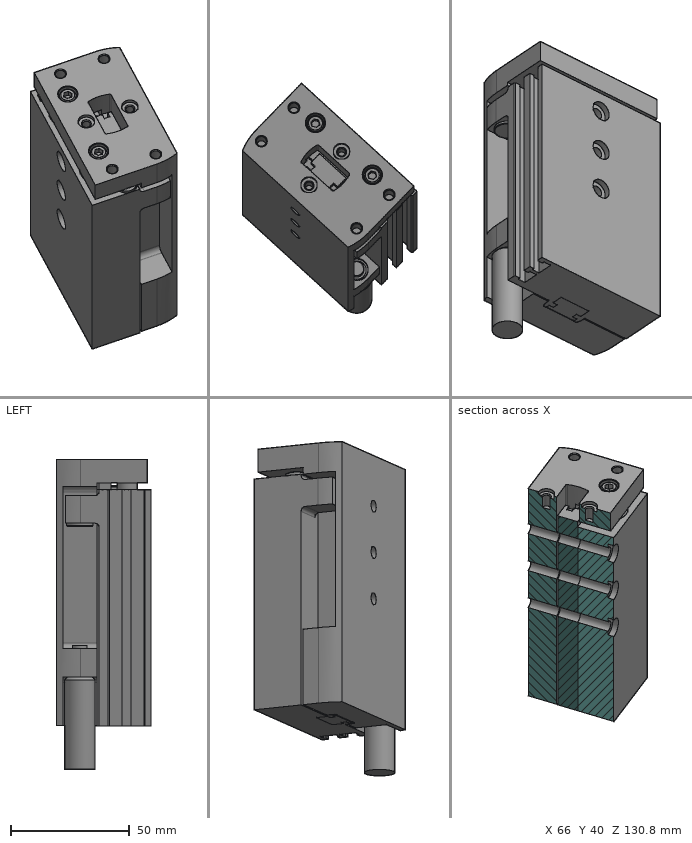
import cadquery as cq
import math


HOUSING_WIDTH = 66.0
HOUSING_DEPTH = 22.0
HOUSING_BOTTOM = 18.3
HOUSING_TOP = 118.0
HOUSING_SIDE = HOUSING_WIDTH / 2

SLOT_WIDTH = 5.4
SLOT_CENTRES_Y = (5.8, 14.9)
SLOT_DEPTH = 6.5
SLOT_LIP = 2.9
SLOT_UNDERCUT = 1.0
SLOT_CHAMFER = 0.5
RIB_INSET = 0.5

MOUNT_HOLE_DIAMETER = 5.0
MOUNT_BORE_DIAMETER = 8.9
MOUNT_BORE_DEPTH = 2.6
MOUNT_TOP_Z = 109.0
MOUNT_PITCH = 20.0
MOUNT_COUNT = 3

TABLE_BACK = 40.0
TABLE_BOTTOM = 18.5
TABLE_TOP = 130.8
TABLE_FRONT = 22.8
TABLE_SIDE = 32.6
PLATE_FRONT = 1.6
PLATE_THICKNESS = 10.0
PLATE_BOTTOM = TABLE_TOP - PLATE_THICKNESS
SIDE_ROUND_START = 29.8
SIDE_ROUND_RADIUS = 27.5

POCKET_WALL_X = -18.2
POCKET_BACK = 37.3
POCKET_TOP = 119.3
RIGHT_POCKET_TOP = HOUSING_TOP
SHELF_TOP = 51.0
SHELF_BOTTOM = 39.0
POCKET_FILLET = 2.4

CORNER_HOLE_X = 27.6
HOLE_ROWS_Y = (11.5, 31.5)
CORNER_HOLE_DIAMETER = 4.2
CORNER_HOLE_MOUTH = 5.0
CORNER_HOLE_DEPTH = 7.9
CENTRE_BORE_DIAMETER = 7.0
CENTRE_BORE_DEPTH = 1.6
CENTRE_HOLE_DIAMETER = 3.3
CENTRE_HOLE_MOUTH = 4.2
CENTRE_HOLE_DEPTH = 7.9

CHANNEL_FRONT = 16.2
CHANNEL_BACK = 26.7
CHANNEL_HALF_WIDTH = 10.1
CHANNEL_CORNER_X = 9.3
CHANNEL_FILLET = 0.7
RAIL_HALF_WIDTH = 7.7
RAIL_FRONT = 16.9
RAIL_BACK = 26.3
RAIL_GROOVE_FRONT = 22.1
RAIL_GROOVE_BACK = 24.6
RAIL_GROOVE_DEPTH = 2.4
GUIDE_ARM_FRONT = 20.8
RELIEF_WIDTH = 0.4
RELIEF_DEPTH = 1.3

ROD_X = 16.5
ROD_Y = 10.1
ROD_DIAMETER = 8.5
ROD_BOTTOM = 65.4
ROD_RECESS_DIAMETER = 16.0
ROD_RECESS_DEPTH = 2.0
SCREW_SHANK_DIAMETER = 4.2
SCREW_HEAD_DIAMETER = 7.0
SCREW_HEAD_CHAMFER = 0.5
SCREW_HEAD_BOTTOM = 124.8
SCREW_HEAD_TOP = 130.2
SCREW_SOCKET_DIAMETER = 3.8
SCREW_SOCKET_DEPTH = 2.6
SCREW_BORE_DIAMETER = 8.0
SCREW_BORE_MOUTH = 8.5

ABSORBER_X = -26.3
ABSORBER_Y = 30.1
ABSORBER_DIAMETER = 13.0
ABSORBER_CHAMFER = 1.2
ABSORBER_NECK_DIAMETER = 8.0
ABSORBER_NECK_TOP = 49.7
SHELF_HOLE_MOUTH = 9.5
ABSORBER_TIP_DIAMETER = 6.0
ABSORBER_TIP_TOP = 52.3
STOP_BOTTOM = 103.9
STOP_TOP = 115.5
STOP_BACK = 36.2
STOP_INNER_X = -19.5
STOP_FILLET = 2.0
STOP_DISC_DIAMETER = 11.1
STOP_DISC_THICKNESS = 1.3
STOP_DISC_CHAMFER = 0.3

BUMPER_X = 28.1
BUMPER_Y = 17.7
BUMPER_DIAMETER = 9.5
BUMPER_TOP_DIAMETER = 7.0
BUMPER_SHOULDER = 1.2
BUMPER_HEIGHT = 1.7


def box(x_min, x_max, y_min, y_max, z_min, z_max):
    size = (x_max - x_min, y_max - y_min, z_max - z_min)
    return cq.Workplane("XY").box(*size, centered=False).translate((x_min, y_min, z_min))


def cylinder(x, y, z_min, z_max, diameter):
    outline = cq.Workplane("XY", origin=(x, y, z_min)).circle(diameter / 2)
    return outline.extrude(z_max - z_min)


def cone(x, y, z_min, z_max, bottom_diameter, top_diameter):
    frustum = cq.Solid.makeCone(
        bottom_diameter / 2, top_diameter / 2, z_max - z_min, pnt=cq.Vector(x, y, z_min)
    )
    return cq.Workplane("XY").add(frustum)


def rounded_side_x(side, y):
    """Half width at depth y of a flank that curves inwards behind SIDE_ROUND_START."""
    rise = y - SIDE_ROUND_START
    return side - SIDE_ROUND_RADIUS + math.sqrt(SIDE_ROUND_RADIUS**2 - rise**2)


def mount_holes(diameter, depth):
    holes = cq.Workplane("XY")
    for index in range(MOUNT_COUNT):
        centre = cq.Vector(0, 0, MOUNT_TOP_Z - index * MOUNT_PITCH)
        holes = holes.add(cq.Solid.makeCylinder(diameter / 2, depth, centre, cq.Vector(0, 1, 0)))
    return holes.combine()


def channel_prism(z_min, z_max):
    """Guide channel: straight front and back, bowed ends, rounded corners."""
    middle_y = (CHANNEL_FRONT + CHANNEL_BACK) / 2
    return (
        cq.Workplane("XY", origin=(0, 0, z_min))
        .moveTo(-CHANNEL_CORNER_X, CHANNEL_FRONT)
        .lineTo(CHANNEL_CORNER_X, CHANNEL_FRONT)
        .threePointArc((CHANNEL_HALF_WIDTH, middle_y), (CHANNEL_CORNER_X, CHANNEL_BACK))
        .lineTo(-CHANNEL_CORNER_X, CHANNEL_BACK)
        .threePointArc((-CHANNEL_HALF_WIDTH, middle_y), (-CHANNEL_CORNER_X, CHANNEL_FRONT))
        .close()
        .extrude(z_max - z_min)
        .edges("|Z")
        .fillet(CHANNEL_FILLET)
    )


def switch_slot(centre_y):
    """T-shaped slot in the left side of the housing, with a chamfered mouth."""
    mouth = SLOT_WIDTH / 2
    pocket = mouth + SLOT_UNDERCUT
    outer_mouth = mouth + SLOT_CHAMFER
    left = -HOUSING_SIDE
    half_outline = [
        (left, outer_mouth),
        (left + SLOT_CHAMFER, mouth),
        (left + SLOT_LIP, mouth),
        (left + SLOT_LIP, pocket),
        (left + SLOT_DEPTH, pocket),
    ]
    upper = [(x, centre_y + offset) for x, offset in half_outline]
    lower = [(x, centre_y - offset) for x, offset in reversed(half_outline)]
    outline = cq.Workplane("XY", origin=(0, 0, HOUSING_BOTTOM)).polyline(upper + lower).close()
    return outline.extrude(HOUSING_TOP - HOUSING_BOTTOM)


def side_slots():
    """Both slots of the left side and the setback of the rib between them."""
    front_slot_y, back_slot_y = SLOT_CENTRES_Y
    setback = box(
        -HOUSING_SIDE, RIB_INSET - HOUSING_SIDE, front_slot_y, back_slot_y, HOUSING_BOTTOM, HOUSING_TOP
    )
    return setback.union(switch_slot(front_slot_y)).union(switch_slot(back_slot_y))


def stop_block():
    """Block behind the left side of the housing."""
    middle_y = (SIDE_ROUND_START + STOP_BACK) / 2
    return (
        cq.Workplane("XY", origin=(0, 0, STOP_BOTTOM))
        .moveTo(STOP_INNER_X, HOUSING_DEPTH)
        .lineTo(-HOUSING_SIDE, HOUSING_DEPTH)
        .lineTo(-HOUSING_SIDE, SIDE_ROUND_START)
        .threePointArc(
            (-rounded_side_x(HOUSING_SIDE, middle_y), middle_y),
            (-rounded_side_x(HOUSING_SIDE, STOP_BACK), STOP_BACK),
        )
        .lineTo(STOP_INNER_X, STOP_BACK)
        .close()
        .extrude(STOP_TOP - STOP_BOTTOM)
    )


def stop_disc():
    disc = cylinder(
        ABSORBER_X, ABSORBER_Y, STOP_BOTTOM - STOP_DISC_THICKNESS, STOP_BOTTOM, STOP_DISC_DIAMETER
    )
    return disc.faces("<Z").chamfer(STOP_DISC_CHAMFER)


def stop_block_root(edge_z, direction):
    """Concave fillet where the top or bottom of the stop block meets the housing back."""
    corner = (HOUSING_DEPTH, edge_z)
    middle = STOP_FILLET * (1 - math.sqrt(0.5))
    return (
        cq.Workplane("YZ", origin=(-HOUSING_SIDE, 0, 0))
        .moveTo(*corner)
        .lineTo(HOUSING_DEPTH + STOP_FILLET, edge_z)
        .threePointArc(
            (HOUSING_DEPTH + middle, edge_z + direction * middle),
            (HOUSING_DEPTH, edge_z + direction * STOP_FILLET),
        )
        .close()
        .extrude(STOP_INNER_X + HOUSING_SIDE)
    )


def guide_arms():
    """Arms inside the table channel, with tongues that run in the rail grooves."""
    channel = channel_prism(HOUSING_BOTTOM, HOUSING_TOP)
    arms = cq.Workplane("XY")
    for x_min, x_max in (
        (-CHANNEL_HALF_WIDTH, -RAIL_HALF_WIDTH),
        (RAIL_HALF_WIDTH, CHANNEL_HALF_WIDTH),
    ):
        arm = box(x_min, x_max, GUIDE_ARM_FRONT, CHANNEL_BACK, HOUSING_BOTTOM, HOUSING_TOP)
        arms = arms.add(arm.intersect(channel))
    return arms.combine().union(rail_grooves(HOUSING_TOP))


def relief_groove():
    """Shallow groove across the housing top in front of the guide arms."""
    return box(
        -CHANNEL_HALF_WIDTH,
        CHANNEL_HALF_WIDTH,
        GUIDE_ARM_FRONT - RELIEF_WIDTH,
        GUIDE_ARM_FRONT,
        HOUSING_TOP - RELIEF_DEPTH,
        HOUSING_TOP,
    )


def rail_grooves(z_max):
    inner_x = RAIL_HALF_WIDTH - RAIL_GROOVE_DEPTH
    left = box(
        -RAIL_HALF_WIDTH, -inner_x, RAIL_GROOVE_FRONT, RAIL_GROOVE_BACK, HOUSING_BOTTOM, z_max
    )
    return left.union(left.mirror("YZ"))


def rail_prism():
    return box(
        -RAIL_HALF_WIDTH, RAIL_HALF_WIDTH, RAIL_FRONT, RAIL_BACK, HOUSING_BOTTOM, PLATE_BOTTOM
    )


def bumper():
    shoulder_z = HOUSING_TOP + BUMPER_SHOULDER
    base = cylinder(BUMPER_X, BUMPER_Y, HOUSING_TOP, shoulder_z, BUMPER_DIAMETER)
    crown = cone(
        BUMPER_X, BUMPER_Y, shoulder_z, HOUSING_TOP + BUMPER_HEIGHT, BUMPER_DIAMETER, BUMPER_TOP_DIAMETER
    )
    return base.union(crown)


def make_housing():
    body = box(-HOUSING_SIDE, HOUSING_SIDE, 0, HOUSING_DEPTH, HOUSING_BOTTOM, HOUSING_TOP)
    body = body.cut(side_slots())
    stop = stop_block().union(stop_block_root(STOP_BOTTOM, -1)).union(stop_block_root(STOP_TOP, 1))
    body = body.union(stop).union(stop.mirror("YZ")).union(stop_disc())
    body = body.cut(rail_prism()).union(guide_arms()).cut(relief_groove())
    body = body.union(bumper())
    for x in (-ROD_X, ROD_X):
        recess_floor = HOUSING_TOP - ROD_RECESS_DEPTH
        body = body.cut(cylinder(x, ROD_Y, recess_floor, HOUSING_TOP, ROD_RECESS_DIAMETER))
        body = body.cut(cylinder(x, ROD_Y, ROD_BOTTOM, HOUSING_TOP, ROD_DIAMETER))
    body = body.cut(mount_holes(MOUNT_HOLE_DIAMETER, TABLE_BACK))
    return body.cut(mount_holes(MOUNT_BORE_DIAMETER, MOUNT_BORE_DEPTH))


def table_outline(front_y, z_min, z_max):
    """Table section: straight flanks that curve inwards to the back face."""
    back_x = rounded_side_x(TABLE_SIDE, TABLE_BACK)
    middle_y = (SIDE_ROUND_START + TABLE_BACK) / 2
    middle_x = rounded_side_x(TABLE_SIDE, middle_y)
    return (
        cq.Workplane("XY", origin=(0, 0, z_min))
        .moveTo(-TABLE_SIDE, front_y)
        .lineTo(TABLE_SIDE, front_y)
        .lineTo(TABLE_SIDE, SIDE_ROUND_START)
        .threePointArc((middle_x, middle_y), (back_x, TABLE_BACK))
        .lineTo(-back_x, TABLE_BACK)
        .threePointArc((-middle_x, middle_y), (-TABLE_SIDE, SIDE_ROUND_START))
        .close()
        .extrude(z_max - z_min)
    )


def side_pocket(z_min, z_max, rounded_ends):
    pocket = box(-HOUSING_SIDE, POCKET_WALL_X, TABLE_FRONT, POCKET_BACK, z_min, z_max)
    return pocket.edges(rounded_ends).fillet(POCKET_FILLET)


def corner_hole(x, y):
    mouth_depth = (CORNER_HOLE_MOUTH - CORNER_HOLE_DIAMETER) / 2
    hole = cylinder(x, y, TABLE_TOP - CORNER_HOLE_DEPTH, TABLE_TOP, CORNER_HOLE_DIAMETER)
    mouth = cone(x, y, TABLE_TOP - mouth_depth, TABLE_TOP, CORNER_HOLE_DIAMETER, CORNER_HOLE_MOUTH)
    return hole.union(mouth)


def centre_hole(y):
    bore_floor = TABLE_TOP - CENTRE_BORE_DEPTH
    mouth_depth = (CENTRE_HOLE_MOUTH - CENTRE_HOLE_DIAMETER) / 2
    bore = cylinder(0, y, bore_floor, TABLE_TOP, CENTRE_BORE_DIAMETER)
    mouth = cone(0, y, bore_floor - mouth_depth, bore_floor, CENTRE_HOLE_DIAMETER, CENTRE_HOLE_MOUTH)
    hole = cylinder(0, y, TABLE_TOP - CENTRE_HOLE_DEPTH, bore_floor, CENTRE_HOLE_DIAMETER)
    return bore.union(mouth).union(hole)


def screw_hole(x):
    mouth_depth = (SCREW_BORE_MOUTH - SCREW_BORE_DIAMETER) / 2
    shank = cylinder(x, ROD_Y, PLATE_BOTTOM, SCREW_HEAD_BOTTOM, SCREW_SHANK_DIAMETER)
    bore = cylinder(x, ROD_Y, SCREW_HEAD_BOTTOM, TABLE_TOP, SCREW_BORE_DIAMETER)
    mouth = cone(x, ROD_Y, TABLE_TOP - mouth_depth, TABLE_TOP, SCREW_BORE_DIAMETER, SCREW_BORE_MOUTH)
    return shank.union(bore).union(mouth)


def shelf_hole():
    """Through hole that grips the absorber neck and widens above it."""
    seat = cylinder(ABSORBER_X, ABSORBER_Y, SHELF_BOTTOM, ABSORBER_NECK_TOP, ABSORBER_NECK_DIAMETER)
    opening = cylinder(ABSORBER_X, ABSORBER_Y, ABSORBER_NECK_TOP, SHELF_TOP, SHELF_HOLE_MOUTH)
    return seat.union(opening)


def make_table():
    slab = table_outline(TABLE_FRONT, TABLE_BOTTOM, TABLE_TOP)
    plate = table_outline(PLATE_FRONT, PLATE_BOTTOM, TABLE_TOP)
    table = slab.union(plate)
    table = table.cut(side_pocket(SHELF_TOP, POCKET_TOP, ">X and |Y"))
    table = table.cut(side_pocket(SHELF_TOP, RIGHT_POCKET_TOP, ">X and |Y").mirror("YZ"))
    table = table.cut(side_pocket(TABLE_BOTTOM, SHELF_BOTTOM, ">X and >Z and |Y"))
    table = table.cut(channel_prism(HOUSING_BOTTOM, TABLE_TOP))
    table = table.cut(shelf_hole()).cut(mount_holes(MOUNT_HOLE_DIAMETER, TABLE_BACK))
    for y in HOLE_ROWS_Y:
        table = table.cut(centre_hole(y))
        for x in (-CORNER_HOLE_X, CORNER_HOLE_X):
            table = table.cut(corner_hole(x, y))
    for x in (-ROD_X, ROD_X):
        table = table.cut(screw_hole(x))
    return table


def make_guide_rail():
    rail = rail_prism().cut(rail_grooves(PLATE_BOTTOM))
    return rail.cut(mount_holes(MOUNT_HOLE_DIAMETER, TABLE_BACK))


def make_rod(x):
    rod = cylinder(x, ROD_Y, ROD_BOTTOM, PLATE_BOTTOM, ROD_DIAMETER)
    shank = cylinder(x, ROD_Y, PLATE_BOTTOM, SCREW_HEAD_BOTTOM, SCREW_SHANK_DIAMETER)
    head = cylinder(x, ROD_Y, SCREW_HEAD_BOTTOM, SCREW_HEAD_TOP, SCREW_HEAD_DIAMETER)
    head = head.faces(">Z").chamfer(SCREW_HEAD_CHAMFER)
    socket_floor = cq.Workplane("XY", origin=(x, ROD_Y, SCREW_HEAD_TOP - SCREW_SOCKET_DEPTH))
    socket = socket_floor.transformed(rotate=(0, 0, 30)).polygon(6, SCREW_SOCKET_DIAMETER)
    return rod.union(shank).union(head).cut(socket.extrude(SCREW_SOCKET_DEPTH))


def make_absorber():
    body = cylinder(ABSORBER_X, ABSORBER_Y, 0, SHELF_BOTTOM, ABSORBER_DIAMETER)
    body = body.faces(">Z").chamfer(ABSORBER_CHAMFER)
    neck = cylinder(ABSORBER_X, ABSORBER_Y, SHELF_BOTTOM, ABSORBER_NECK_TOP, ABSORBER_NECK_DIAMETER)
    tip = cylinder(ABSORBER_X, ABSORBER_Y, ABSORBER_NECK_TOP, ABSORBER_TIP_TOP, ABSORBER_TIP_DIAMETER)
    return body.union(neck).union(tip)


housing = make_housing()
table = make_table()
guide_rail = make_guide_rail()
absorber = make_absorber()
rods = [make_rod(x) for x in (-ROD_X, ROD_X)]

result = cq.Compound.makeCompound(
    [
        *housing.solids().vals(),
        *table.solids().vals(),
        *guide_rail.solids().vals(),
        *absorber.solids().vals(),
        *[rod.solids().val() for rod in rods],
    ]
)